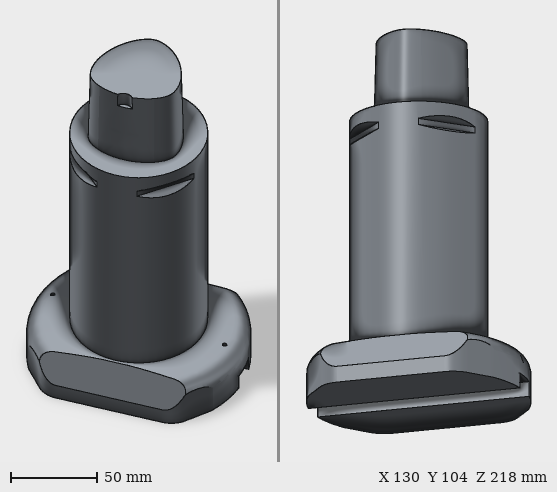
import cadquery as cq
import math

total_height = 218.0
flange_height = 28.3
body_top = 170.3

flange_radius = 65.0
flange_half_depth = 52.0
crown_radius = 42.7
rim_round = 10.0
rim_start = 16.8
crown_slope = 4.0
facet_angle = 40.0
facet_distance = 64.0
corner_round = 16.0
bevel_start = 9.5
bevel_top_half_depth = 41.9
key_slot_width = 17.2
key_slot_height = 9.0
pin_hole_diameter = 2.5
pin_hole_depth = 4.4
pin_hole_x = 54.3
pin_hole_y = 4.5

body_diameter = 80.0
notch_flat_distance = 35.5
notch_center_height = 157.95
notch_flat_height = 3.7
notch_mouth_height = 9.0

shank_base_diameter = 55.2
shank_taper = 1 / 20
lobe_height = 2.0
lobe_half_angle = 34.0
points_per_face = 8
key_radius = 5.55
key_depth = 2.5
key_height = 8.5

body_radius = body_diameter / 2
shank_height = total_height - body_top
shank_top_diameter = shank_base_diameter - shank_taper * shank_height


def make_flange():
    round_center = flange_radius - rim_round
    slope = math.radians(crown_slope)
    half_turn = (slope + math.pi / 2) / 2

    def rim_point(angle):
        return round_center + rim_round * math.sin(angle), rim_start + rim_round * math.cos(angle)

    blank = (
        cq.Workplane("XZ")
        .lineTo(flange_radius, 0)
        .lineTo(flange_radius, rim_start)
        .threePointArc(rim_point(half_turn), rim_point(slope))
        .lineTo(crown_radius, flange_height)
        .lineTo(0, flange_height)
        .close()
        .revolve(360, (0, 0, 0), (0, 1, 0))
    )

    facet = math.radians(facet_angle)
    flat_half_width = (facet_distance - flange_half_depth * math.sin(facet)) / math.cos(facet)
    tip_x = facet_distance / math.cos(facet)
    outline = (
        cq.Workplane("XY")
        .polyline([
            (tip_x, 0),
            (flat_half_width, flange_half_depth),
            (-flat_half_width, flange_half_depth),
            (-tip_x, 0),
            (-flat_half_width, -flange_half_depth),
            (flat_half_width, -flange_half_depth),
        ])
        .close()
        .extrude(flange_height)
        .edges("|Z and (>Y or <Y)")
        .fillet(corner_round)
        .intersect(cq.Workplane("XY").circle(flange_radius).extrude(flange_height))
    )
    arc_corner_angle = facet - math.acos(facet_distance / flange_radius)
    for side_x in (-1, 1):
        for side_y in (-1, 1):
            corner = (
                side_x * flange_radius * math.cos(arc_corner_angle),
                side_y * flange_radius * math.sin(arc_corner_angle),
                flange_height / 2,
            )
            outline = outline.edges(cq.NearestToPointSelector(corner)).fillet(corner_round)

    section = (
        cq.Workplane("YZ")
        .polyline([
            (-flange_half_depth, 0),
            (flange_half_depth, 0),
            (flange_half_depth, bevel_start),
            (bevel_top_half_depth, flange_height),
            (-bevel_top_half_depth, flange_height),
            (-flange_half_depth, bevel_start),
        ])
        .close()
        .extrude(flange_radius, both=True)
    )
    flange = blank.intersect(outline).intersect(section)

    key_slot = cq.Workplane("XY").box(
        2 * flange_radius, key_slot_width, key_slot_height, centered=(True, True, False)
    )
    pin_holes = (
        cq.Workplane("XY", origin=(0, 0, flange_height - pin_hole_depth))
        .pushPoints([(-pin_hole_x, pin_hole_y), (pin_hole_x, -pin_hole_y)])
        .circle(pin_hole_diameter / 2)
        .extrude(pin_hole_depth)
    )
    return flange.cut(key_slot).cut(pin_holes)


def make_body():
    body = (
        cq.Workplane("XY", origin=(0, 0, flange_height))
        .circle(body_radius)
        .extrude(body_top - flange_height)
    )
    half_flat = notch_flat_height / 2
    half_mouth = notch_mouth_height / 2
    notch = (
        cq.Workplane("XZ", origin=(0, 0, notch_center_height))
        .polyline([
            (notch_flat_distance, -half_flat),
            (body_radius, -half_mouth),
            (body_radius, half_mouth),
            (notch_flat_distance, half_flat),
        ])
        .close()
        .extrude(body_radius, both=True)
    )
    for angle in (45, 135, 225, 315):
        body = body.cut(notch.rotate((0, 0, 0), (0, 0, 1), angle))
    return body


def shank_outline(diameter, height):
    def point(degrees):
        angle = math.radians(degrees)
        along = (
            diameter / 2 * math.cos(angle)
            + 2 * lobe_height * math.cos(2 * angle)
            - lobe_height * math.cos(4 * angle)
        )
        across = (
            diameter / 2 * math.sin(angle)
            - 2 * lobe_height * math.sin(2 * angle)
            - lobe_height * math.sin(4 * angle)
        )
        return cq.Vector(-across, along, height)

    faces = []
    for lobe in (0, 120, 240):
        faces.append((lobe - lobe_half_angle, lobe + lobe_half_angle))
        faces.append((lobe + lobe_half_angle, lobe + 120 - lobe_half_angle))
    edges = []
    for start, end in faces:
        step = (end - start) / points_per_face
        points = [point(start + i * step) for i in range(points_per_face + 1)]
        edges.append(cq.Edge.makeSpline(points))
    return cq.Wire.assembleEdges(edges)


def make_shank():
    base = shank_outline(shank_base_diameter, body_top)
    top = shank_outline(shank_top_diameter, total_height)
    shank = cq.Workplane(cq.Solid.makeLoft([base, top], True))

    front_y = lobe_height - shank_top_diameter / 2
    key_notch = (
        cq.Workplane("XY", origin=(0, front_y + key_depth - key_radius, total_height - key_height))
        .circle(key_radius)
        .extrude(key_height)
    )
    return shank.cut(key_notch)


result = make_flange().union(make_body()).union(make_shank())